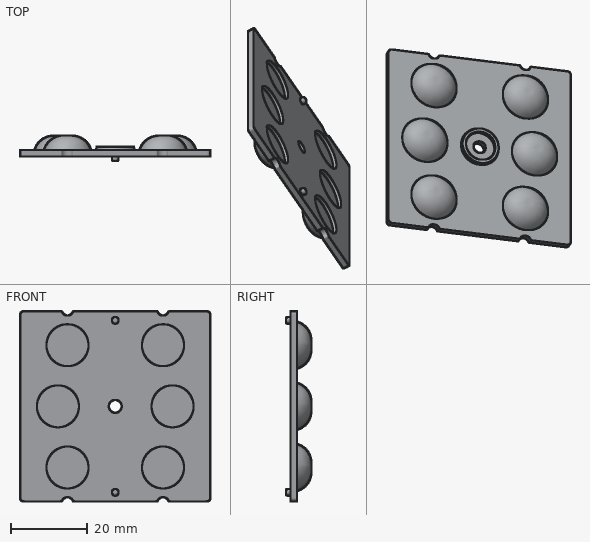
import cadquery as cq
import math

PLATE_SIZE = 49.8
PLATE_THICKNESS = 1.75
CORNER_RADIUS = 0.9

NOTCH_X = 12.5
NOTCH_DEPTH = 1.1
NOTCH_RADIUS = 1.5
NOTCH_MOUTH_RADIUS = 0.4

LENS_ROW_PITCH = 16.0
OUTER_ROW_X = 12.5
MIDDLE_ROW_X = 15.0
DOME_RADIUS = 6.2
DOME_HEIGHT = 3.8
DOME_FLAT_RADIUS = 1.1
POCKET_DIAMETER = 11.0
POCKET_DEPTH = 1.0

RING_DIAMETER = 9.9
RING_INNER_DIAMETER = 8.0
RING_FOOT_DIAMETER = 10.2
RING_FOOT_HEIGHT = 0.5
RING_HEIGHT = 0.9
HOLE_DIAMETER = 3.3

PEG_Z = 22.5
PEG_DIAMETER = 1.8
PEG_HEIGHT = 1.2
PEG_TIP_RADIUS = 0.5

HALF_SIZE = PLATE_SIZE / 2
LENS_CENTRES = [
    (side * x, z)
    for x, z in (
        (OUTER_ROW_X, LENS_ROW_PITCH),
        (MIDDLE_ROW_X, 0),
        (OUTER_ROW_X, -LENS_ROW_PITCH),
    )
    for side in (-1, 1)
]


def cylinder_along_y(x, z, diameter, start_y, length):
    """Cylinder along +Y, starting at start_y and centred on (x, z)."""
    centre = cq.Vector(x, start_y, z)
    return cq.Workplane(cq.Solid.makeCylinder(diameter / 2, length, centre, cq.Vector(0, 1, 0)))


def make_notch(x, side):
    """Cutter for one notch in the top (side = 1) or bottom (side = -1) edge."""
    blend = NOTCH_RADIUS + NOTCH_MOUTH_RADIUS
    mouth_x = math.sqrt(blend**2 - (blend - NOTCH_DEPTH) ** 2)
    mouth_angle = math.asin(mouth_x / blend)
    tangent_x = NOTCH_RADIUS * math.sin(mouth_angle)
    tangent_depth = NOTCH_MOUTH_RADIUS * (1 - math.cos(mouth_angle))
    middle_x = mouth_x - NOTCH_MOUTH_RADIUS * math.sin(mouth_angle / 2)
    middle_depth = NOTCH_MOUTH_RADIUS * (1 - math.cos(mouth_angle / 2))

    def point(offset_x, depth):
        return (x + offset_x, side * (HALF_SIZE - depth))

    return (
        cq.Workplane("XZ")
        .moveTo(*point(-mouth_x, 0))
        .threePointArc(point(-middle_x, middle_depth), point(-tangent_x, tangent_depth))
        .threePointArc(point(0, NOTCH_DEPTH), point(tangent_x, tangent_depth))
        .threePointArc(point(middle_x, middle_depth), point(mouth_x, 0))
        .close()
        .extrude(-PLATE_THICKNESS)
    )


def make_plate():
    """Square plate with rounded corners and four edge notches."""
    plate = (
        cq.Workplane("XZ")
        .rect(PLATE_SIZE, PLATE_SIZE)
        .extrude(-PLATE_THICKNESS)
        .edges("|Y")
        .fillet(CORNER_RADIUS)
    )
    for x in (-NOTCH_X, NOTCH_X):
        for side in (-1, 1):
            plate = plate.cut(make_notch(x, side))
    return plate


def make_dome(x, z):
    """Dome on the back face: a small flat top with a round flank tangent to it."""
    flank_width = DOME_RADIUS - DOME_FLAT_RADIUS
    flank_radius = (flank_width**2 + DOME_HEIGHT**2) / (2 * DOME_HEIGHT)
    middle_angle = math.atan2(DOME_HEIGHT, flank_width)
    middle_x = DOME_FLAT_RADIUS + flank_radius * math.sin(middle_angle)
    middle_y = DOME_HEIGHT - flank_radius * (1 - math.cos(middle_angle))
    return (
        cq.Workplane("XY")
        .moveTo(0, 0)
        .lineTo(DOME_RADIUS, 0)
        .threePointArc((middle_x, middle_y), (DOME_FLAT_RADIUS, DOME_HEIGHT))
        .lineTo(0, DOME_HEIGHT)
        .close()
        .revolve(360, (0, 0), (0, 1))
        .translate((x, PLATE_THICKNESS, z))
    )


def make_ring():
    """Ring wall on the back face, with a tapered foot on its outside."""
    inner_radius = RING_INNER_DIAMETER / 2
    outer_radius = RING_DIAMETER / 2
    return (
        cq.Workplane("XY")
        .moveTo(inner_radius, 0)
        .lineTo(RING_FOOT_DIAMETER / 2, 0)
        .lineTo(outer_radius, RING_FOOT_HEIGHT)
        .lineTo(outer_radius, RING_HEIGHT)
        .lineTo(inner_radius, RING_HEIGHT)
        .close()
        .revolve(360, (0, 0), (0, 1))
        .translate((0, PLATE_THICKNESS, 0))
    )


def make_peg(z):
    """Peg on the front face with a rounded tip."""
    peg = cylinder_along_y(0, z, PEG_DIAMETER, -PEG_HEIGHT, PEG_HEIGHT)
    return peg.faces("<Y").edges().fillet(PEG_TIP_RADIUS)


result = make_plate().union(make_ring())
for lens_x, lens_z in LENS_CENTRES:
    pocket = cylinder_along_y(lens_x, lens_z, POCKET_DIAMETER, 0, POCKET_DEPTH)
    result = result.union(make_dome(lens_x, lens_z)).cut(pocket)
for peg_z in (-PEG_Z, PEG_Z):
    result = result.union(make_peg(peg_z))
result = result.cut(cylinder_along_y(0, 0, HOLE_DIAMETER, 0, PLATE_THICKNESS))